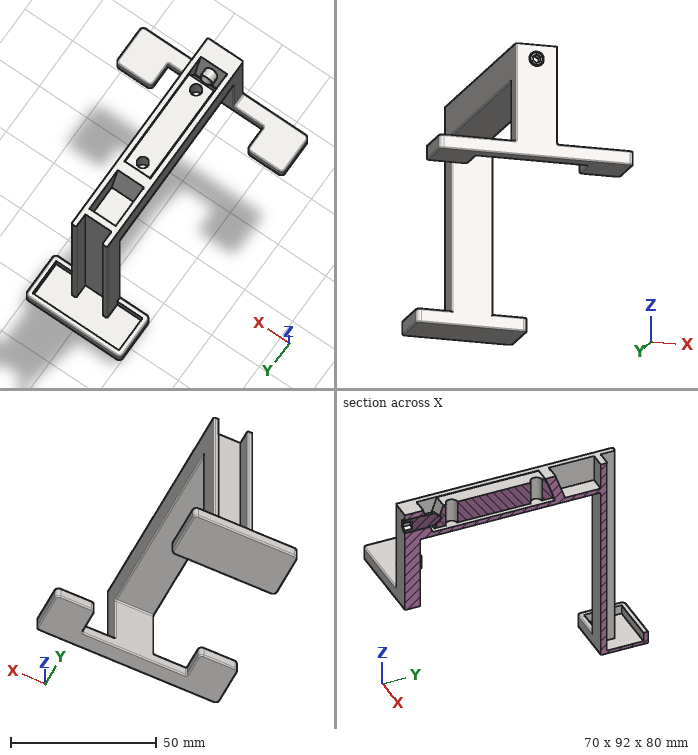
import cadquery as cq
import math

DEPTH = 92.0
HEIGHT = 80.0
FRAME_WIDTH = 15.0
MARGIN = 0.1
EDGE_ROUND = 0.5
CORNER_ROUND = 1.6

BEAM_HEIGHT = 12.0
BEAM_BOTTOM = HEIGHT - BEAM_HEIGHT
FRONT_POST_DEPTH = 6.0
REAR_POST_DEPTH = 8.0
REAR_WEB = 2.5
SIDE_WALL = 2.0
CHANNEL_WIDTH = FRAME_WIDTH - 2 * SIDE_WALL

FOOT_THICKNESS = 5.0
FRONT_FOOT_WIDTH = 70.0
FRONT_FOOT_DEPTH = 16.1
FRONT_FOOT_BOTTOM = 40.1
FRONT_FOOT_TOP = FRONT_FOOT_BOTTOM + FOOT_THICKNESS
PAD_WIDTH = 15.0
NOTCH_WIDTH = FRONT_FOOT_WIDTH - 2 * PAD_WIDTH
REAR_FOOT_WIDTH = 40.0
REAR_FOOT_DEPTH = 18.0
REAR_FOOT_FRONT = DEPTH - REAR_FOOT_DEPTH
REAR_POST_BACK = REAR_FOOT_FRONT + REAR_POST_DEPTH
TRAY_WALL = 1.9
TRAY_FLOOR = 1.5

RECESS_DEPTH = 10.0
RECESS_FLOOR = HEIGHT - RECESS_DEPTH
SLOPE_ANGLE = 20
SLOPE = math.tan(math.radians(SLOPE_ANGLE))
SLOT_FRONT = 7.0
SLOT_REAR = 53.0
DIVIDER = 4.0
POCKET_FRONT = SLOT_REAR + DIVIDER

SLIDER_FRONT = 14.5
SLIDER_HEIGHT = 8.9
SLIDER_SIDE_GAP = 0.3
SLIDER_WIDTH = CHANNEL_WIDTH - 2 * SLIDER_SIDE_GAP
SLIDER_HOLE_DIAMETER = 4.2
SLIDER_HOLE_MARGIN = 3.2

SCREW_DIAMETER = 5.15
SCREW_RADIUS = SCREW_DIAMETER / 2
SCREW_Z = HEIGHT - 5.0
SCREW_SHANK = 11.4
SCREW_CHAMFER = 0.4
SOCKET_SIDES = 6
SOCKET_FLATS = 2.7
SOCKET_DEPTH = 2.8


def block(width, y_front, y_back, z_bottom, z_top):
    """Box centred on X = 0."""
    return cq.Workplane("XY").box(
        width, y_back - y_front, z_top - z_bottom, centered=(True, False, False)
    ).translate((0, y_front, z_bottom))


def side_profile(width, points):
    """Outline of (Y, Z) points extruded to the given width about X = 0."""
    return cq.Workplane("YZ").polyline(points).close().extrude(width / 2, both=True)


def centred_in(half_width, y_front, y_back, z_bottom, z_top):
    """Selector of the edges whose centres lie in a box about X = 0, with a small margin."""
    low = (-half_width - MARGIN, y_front - MARGIN, z_bottom - MARGIN)
    high = (half_width + MARGIN, y_back + MARGIN, z_top + MARGIN)
    return cq.selectors.BoxSelector(low, high)


def make_bridge():
    """Beam with its front and rear posts, its two inner corners rounded."""
    bridge = side_profile(FRAME_WIDTH, [
        (0, FRONT_FOOT_BOTTOM),
        (0, HEIGHT),
        (REAR_POST_BACK, HEIGHT),
        (REAR_POST_BACK, 0),
        (REAR_FOOT_FRONT, 0),
        (REAR_FOOT_FRONT, BEAM_BOTTOM),
        (FRONT_POST_DEPTH, BEAM_BOTTOM),
        (FRONT_POST_DEPTH, FRONT_FOOT_BOTTOM),
    ])
    inner_corners = centred_in(0, FRONT_POST_DEPTH, REAR_FOOT_FRONT, BEAM_BOTTOM, BEAM_BOTTOM)
    return bridge.edges(inner_corners).fillet(EDGE_ROUND)


def make_front_foot():
    """U-shaped foot: a cross bar with a pad at each end."""
    foot = block(FRONT_FOOT_WIDTH, 0, FRONT_FOOT_DEPTH, FRONT_FOOT_BOTTOM, FRONT_FOOT_TOP)
    notch = block(NOTCH_WIDTH, FRONT_POST_DEPTH, FRONT_FOOT_DEPTH, FRONT_FOOT_BOTTOM, FRONT_FOOT_TOP)
    foot = foot.cut(notch.edges("|Z and <Y").fillet(EDGE_ROUND))
    for end in ("<Y", ">Y"):
        foot = foot.edges("|Z and " + end).fillet(CORNER_ROUND)
    return foot


def make_rear_foot():
    """Plain rounded plate under the rear post."""
    foot = block(REAR_FOOT_WIDTH, REAR_FOOT_FRONT, DEPTH, 0, FOOT_THICKNESS)
    return foot.edges("|Z").fillet(CORNER_ROUND)


def round_outer_edges(frame):
    """Round the post-to-foot corners at the front, then the outer edges.

    Each upright edge carries its round on along the tangent edges: round the underside
    of the beam, and round the top of the front foot.
    """
    half = FRAME_WIDTH / 2
    junction = centred_in(half, 0, FRONT_POST_DEPTH, FRONT_FOOT_TOP, FRONT_FOOT_TOP)
    frame = frame.edges(junction).fillet(EDGE_ROUND)

    above_foot = FOOT_THICKNESS + EDGE_ROUND
    uprights = frame.edges("|Z").edges(centred_in(half, 0, DEPTH, above_foot, HEIGHT))
    rear_base = frame.edges(centred_in(REAR_FOOT_WIDTH / 2, 0, DEPTH, 0, 0))
    front_base = frame.edges(
        centred_in(FRONT_FOOT_WIDTH / 2, 0, FRONT_FOOT_DEPTH, FRONT_FOOT_BOTTOM, FRONT_FOOT_BOTTOM))
    post_foot = centred_in(half, REAR_FOOT_FRONT, REAR_POST_BACK, FOOT_THICKNESS, FOOT_THICKNESS)
    rear_rim = frame.edges(cq.selectors.SubtractSelector(
        centred_in(REAR_FOOT_WIDTH / 2, 0, DEPTH, FOOT_THICKNESS, FOOT_THICKNESS), post_foot))

    chosen = uprights.vals() + rear_base.vals() + front_base.vals() + rear_rim.vals()
    return frame.newObject(chosen).fillet(EDGE_ROUND)


def cut_tray(frame):
    """Hollow the top of the rear foot around the rear post."""
    tray = block(
        REAR_FOOT_WIDTH - 2 * TRAY_WALL, REAR_FOOT_FRONT + TRAY_WALL, DEPTH - TRAY_WALL,
        TRAY_FLOOR, FOOT_THICKNESS,
    )
    post = block(FRAME_WIDTH, REAR_FOOT_FRONT, REAR_POST_BACK, TRAY_FLOOR, FOOT_THICKNESS)
    post = post.edges("|Z and >Y").fillet(EDGE_ROUND)
    return frame.cut(tray.cut(post))


def cut_channel(frame):
    """Open the back of the rear post over its full height and round the channel's mouth."""
    channel = block(CHANNEL_WIDTH, REAR_FOOT_FRONT + REAR_WEB, REAR_POST_BACK, TRAY_FLOOR, HEIGHT)
    frame = frame.cut(channel)
    mouth = centred_in(CHANNEL_WIDTH / 2, REAR_POST_BACK, REAR_POST_BACK, FOOT_THICKNESS, HEIGHT)
    return frame.edges("|Z").edges(mouth).fillet(EDGE_ROUND)


def make_recesses():
    """Clamp slot and open pocket in the beam, with sloped end faces."""
    run = SLOPE * RECESS_DEPTH
    slot = side_profile(CHANNEL_WIDTH, [
        (SLOT_FRONT, HEIGHT),
        (SLOT_REAR, HEIGHT),
        (SLOT_REAR + run, RECESS_FLOOR),
        (SLOT_FRONT + run, RECESS_FLOOR),
    ])
    pocket = side_profile(CHANNEL_WIDTH, [
        (POCKET_FRONT, HEIGHT),
        (REAR_FOOT_FRONT, HEIGHT),
        (REAR_FOOT_FRONT, RECESS_FLOOR),
        (POCKET_FRONT + run, RECESS_FLOOR),
    ])
    return slot.union(pocket)


def screw_envelope():
    """Set screw without end chamfer and socket: shank with a 45 degree point."""
    profile = [
        (0, 0),
        (SCREW_RADIUS, 0),
        (SCREW_RADIUS, SCREW_SHANK),
        (0, SCREW_SHANK + SCREW_RADIUS),
    ]
    body = cq.Workplane("XY").polyline(profile).close().revolve(360, (0, 0), (0, 1))
    return body.translate((0, 0, SCREW_Z))


def make_frame():
    """Beam, posts and feet as one body, with the slider slot and the screw hole."""
    frame = make_bridge().union(make_front_foot()).union(make_rear_foot())
    frame = round_outer_edges(frame)
    frame = cut_channel(cut_tray(frame))
    return frame.cut(make_recesses()).cut(screw_envelope())


def make_slider():
    """Trapezoidal clamp bar with two through holes and a seat for the screw point."""
    run = SLOPE * SLIDER_HEIGHT
    bottom = HEIGHT - SLIDER_HEIGHT
    slider = side_profile(SLIDER_WIDTH, [
        (SLIDER_FRONT, HEIGHT),
        (SLOT_REAR, HEIGHT),
        (SLOT_REAR + run, bottom),
        (SLIDER_FRONT - run, bottom),
    ])
    for y in (SLIDER_FRONT + SLIDER_HOLE_MARGIN, SLOT_REAR - SLIDER_HOLE_MARGIN):
        hole = cq.Workplane("XY").circle(SLIDER_HOLE_DIAMETER / 2).extrude(SLIDER_HEIGHT)
        slider = slider.cut(hole.translate((0, y, bottom)))
    return slider.cut(screw_envelope())


def make_screw():
    """Pointed set screw with a hexagon socket, flush with the front face."""
    screw = screw_envelope().faces("<Y").edges().chamfer(SCREW_CHAMFER)
    socket = (
        cq.Workplane("XZ")
        .polygon(SOCKET_SIDES, SOCKET_FLATS / math.cos(math.pi / SOCKET_SIDES))
        .extrude(-SOCKET_DEPTH)
        .rotate((0, 0, 0), (0, 1, 0), 180 / SOCKET_SIDES)
        .translate((0, 0, SCREW_Z))
    )
    return screw.cut(socket)


frame = make_frame().solids().val()
slider = make_slider().solids().val()
screw = make_screw().solids().val()
result = cq.Compound.makeCompound([frame, slider, screw])